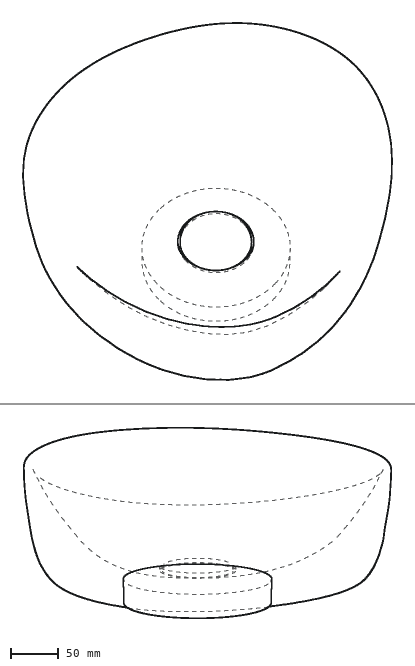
import cadquery as cq
import math

total_height = 146.5
bowl_bottom_height = 26.5
band_bottom_height = 133.0
floor_edge_height = 73.2
dish_bottom_height = 43.2
band_middle_height = (band_bottom_height + total_height) / 2

rim_radii = [199.0, 185.0, 181.0, 193.2, 211.5, 209.5, 199.5, 202.0, 204.0, 197.0, 193.2, 199.2]
floor_edge_radii = [147.0, 132.5, 125.5, 134.0, 147.5, 149.5, 147.0, 147.0, 147.5, 142.0, 141.2, 145.5]

wall_draft = 13.0
corner_width = 20.0
corner_height = 53.2
corner_steps = 6

rim_width = 7.5
rim_outer_round = 4.0
rim_inner_round = 3.2
wall_bulge = 4.0
wall_steps = 4

dish_circle_radius = 64.0
dish_run = 81.0
dish_steps = 5
cone_radius = 65.0
cone_drop = 1.2
cone_overlap = 2.0

recess_radius = 40.0
recess_depth = 6.0
recess_round = 3.5
cover_radius = 37.5
cover_round = 4.0
cover_dome = 1.0

pedestal_top_radius = 78.0
pedestal_bottom_radius = 77.5
pedestal_round = 1.5


def inset(radii, distance):
    return [radius - distance for radius in radii]


def blend(start_radii, end_radii, share):
    return [start + share * (end - start) for start, end in zip(start_radii, end_radii)]


def section(radii, height):
    """Closed smooth curve through the given radii at one height."""
    step = 2 * math.pi / len(radii)
    points = [
        cq.Vector(radius * math.cos(i * step), radius * math.sin(i * step), height)
        for i, radius in enumerate(radii)
    ]
    return cq.Wire.assembleEdges([cq.Edge.makeSpline(points, periodic=True)])


def loft(sections):
    return cq.Workplane(cq.Solid.makeLoft(sections))


def make_outer_body():
    sections = []
    wall_height = band_bottom_height - bowl_bottom_height
    for i in range(corner_steps + 1):
        angle = math.pi / 2 * (1 - i / corner_steps)
        height = bowl_bottom_height + corner_height * (1 - math.sin(angle))
        draft = wall_draft * (band_bottom_height - height) / wall_height
        corner = corner_width * (1 - math.cos(angle))
        sections.append(section(inset(rim_radii, draft + corner), height))
    for height in (band_bottom_height, band_middle_height, total_height):
        sections.append(section(rim_radii, height))
    return loft(sections)


def make_wall_cavity():
    rim_inside = inset(rim_radii, rim_width)
    sections = []
    for i in range(wall_steps + 1):
        share = i / wall_steps
        bulge = 4 * wall_bulge * share * (1 - share)
        height = floor_edge_height + share * (total_height - floor_edge_height)
        sections.append(section(inset(blend(floor_edge_radii, rim_inside, share), -bulge), height))
    return loft(sections)


def dish_height(distance):
    """Height of the circular dish arc at a distance outside the dish circle."""
    rise = floor_edge_height - dish_bottom_height
    arc_radius = (dish_run**2 + rise**2) / (2 * rise)
    return dish_bottom_height + arc_radius - math.sqrt(arc_radius**2 - distance**2)


def make_dish_cavity():
    circle = [dish_circle_radius] * len(floor_edge_radii)
    sections = []
    for i in range(dish_steps + 1):
        share = i / dish_steps
        height = dish_height(share * dish_run)
        sections.append(section(blend(circle, floor_edge_radii, share), height))
    return loft(sections)


def make_drain_cavity():
    """Revolved shallow cone, with the ring-shaped recess around the domed cover."""
    mouth_radius = recess_radius + recess_round
    cone_height = dish_height(cone_radius - dish_circle_radius)
    mouth_height = cone_height - cone_drop
    cone_slope = cone_drop / (cone_radius - mouth_radius)
    tool_radius = cone_radius + cone_overlap
    tool_height = cone_height + cone_overlap
    recess_bottom = mouth_height - recess_depth
    round_middle = math.cos(math.pi / 4)
    cover_shoulder = cover_radius - cover_round
    dome_radius = (cover_shoulder**2 + cover_dome**2) / (2 * cover_dome)
    return (
        cq.Workplane("XZ")
        .moveTo(0, tool_height)
        .lineTo(tool_radius, tool_height)
        .lineTo(tool_radius, cone_height + cone_slope * cone_overlap)
        .lineTo(mouth_radius, mouth_height)
        .threePointArc(
            (mouth_radius - recess_round * round_middle, mouth_height - recess_round * (1 - round_middle)),
            (recess_radius, mouth_height - recess_round),
        )
        .lineTo(recess_radius, recess_bottom)
        .lineTo(cover_radius, recess_bottom)
        .lineTo(cover_radius, mouth_height - cover_round)
        .threePointArc(
            (cover_shoulder + cover_round * round_middle, mouth_height - cover_round * (1 - round_middle)),
            (cover_shoulder, mouth_height),
        )
        .radiusArc((0, mouth_height + cover_dome), -dome_radius)
        .close()
        .revolve(360, (0, 0, 0), (0, 1, 0))
    )


def make_pedestal():
    return (
        cq.Workplane("XY")
        .circle(pedestal_bottom_radius)
        .workplane(offset=bowl_bottom_height)
        .circle(pedestal_top_radius)
        .loft()
        .faces("<Z")
        .edges()
        .fillet(pedestal_round)
    )


body = make_outer_body().faces(">Z").edges().fillet(rim_outer_round)
body = body.cut(make_wall_cavity()).cut(make_dish_cavity())
inner_rim = cq.selectors.LengthNthSelector(0)
body = body.faces(">Z").edges(inner_rim).fillet(rim_inner_round)
result = body.cut(make_drain_cavity()).union(make_pedestal()).solids()